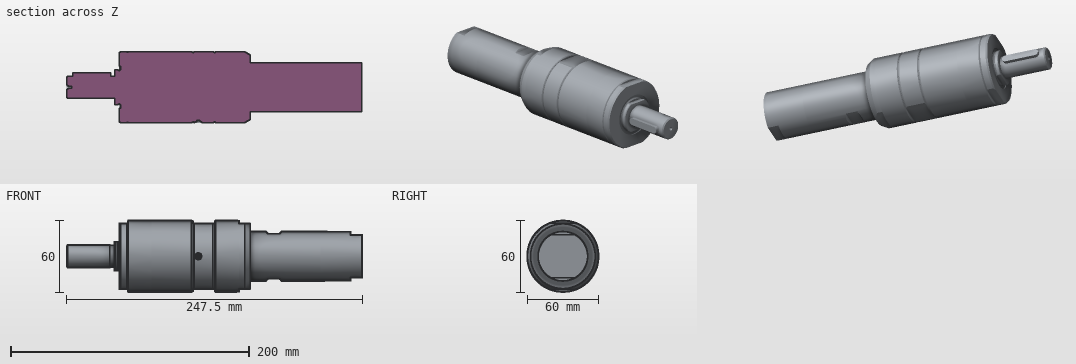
import math

import cadquery as cq


SHAFT_DIAMETER = 19.0
SHAFT_NECK_DIAMETER = 18.8
SHAFT_SEAT_LENGTH = 36.0
SHAFT_CHAMFER = 1.0
CENTER_HOLE_DIAMETER = 1.55
CENTER_CONE_DIAMETER = 3.2
CENTER_HOLE_DEPTH = 4.0
CENTER_CONE_DEPTH = 1.8

KEY_WIDTH = 6.0
KEY_START = 5.0
KEY_LENGTH = 32.0
KEY_TOP = 12.5
KEY_BOTTOM = 6.0

COLLAR_DIAMETER = 29.95
COLLAR_START = 40.0
COLLAR_LENGTH = 3.0
COLLAR_CHAMFER = 0.5
COLLAR_ROOT_CHAMFER = 1.0
COLLAR_ACROSS_FLATS = 24.6
COLLAR_NECK_DIAMETER = COLLAR_DIAMETER - 2 * COLLAR_CHAMFER

HOUSING_DIAMETER = 60.0
HOUSING_ACROSS_FLATS = 55.0
COVER_START = 44.0
COVER_END = 51.0
BODY_JOINT = 71.0
BODY_END = 106.0
RING_END = 124.0
NOSE_FLAT_START = 144.5
NOSE_TAPER_START = 149.0
HOUSING_END = 154.0
TAPER_SLOPE = math.tan(math.radians(30))
LONG_CHAMFER = 1.5
LONG_CHAMFER_DEPTH = LONG_CHAMFER * TAPER_SLOPE
SHORT_CHAMFER = 0.75
COVER_RECESS_DIAMETER = 35.0
COVER_RECESS_DEPTH = 1.0

PLUG_X = 110.3
PLUG_HOLE_DIAMETER = 5.5
PLUG_HOLE_DEPTH = 0.8
PLUG_CONE_DIAMETER = 3.6
PLUG_CONE_TIP_DIAMETER = 1.55
PLUG_CONE_DEPTH = 1.5

TUBE_DIAMETER = 41.5
TUBE_END_LENGTH = 35.0
TOTAL_LENGTH = 247.5
WRENCH_CENTER = 173.5
WRENCH_FLAT_LENGTH = 10.0
WRENCH_ACROSS_FLATS = 38.0
END_FLAT_LENGTH = 9.5
END_ACROSS_FLATS = 36.0


def rod(start, end, diameter, start_chamfer=None, end_chamfer=None):
    """Cylinder along X with optional (length, depth) chamfers at its two ends."""
    radius = diameter / 2
    points = [(start, 0)]
    if start_chamfer:
        length, depth = start_chamfer
        points += [(start, radius - depth), (start + length, radius)]
    else:
        points.append((start, radius))
    if end_chamfer:
        length, depth = end_chamfer
        points += [(end - length, radius), (end, radius - depth)]
    else:
        points.append((end, radius))
    points.append((end, 0))
    profile = cq.Workplane("XY").polyline(points).close()
    return profile.revolve(360, (0, 0, 0), (1, 0, 0))


def between_flats(solid, start, end, across_flats):
    """Keep only the part of a solid that lies between two flats facing +Z and -Z."""
    slab = cq.Workplane("XY").box(end - start, 2 * HOUSING_DIAMETER, across_flats)
    return solid.intersect(slab.translate(((start + end) / 2, 0, 0)))


def drive_shaft():
    """Chamfered shaft seat and slimmer neck, with a centre hole in the tip."""
    seat = rod(0, SHAFT_SEAT_LENGTH, SHAFT_DIAMETER, start_chamfer=(SHAFT_CHAMFER, SHAFT_CHAMFER))
    neck = rod(SHAFT_SEAT_LENGTH, COVER_END, SHAFT_NECK_DIAMETER)
    center_hole = rod(0, CENTER_HOLE_DEPTH, CENTER_HOLE_DIAMETER)
    center_cone = cq.Solid.makeCone(
        CENTER_CONE_DIAMETER / 2,
        CENTER_HOLE_DIAMETER / 2,
        CENTER_CONE_DEPTH,
        cq.Vector(0, 0, 0),
        cq.Vector(1, 0, 0),
    )
    return seat.union(neck).cut(center_hole).cut(center_cone)


def key():
    """Round-ended key standing out of the shaft towards +Y."""
    outline = cq.Workplane("XZ", origin=(KEY_START + KEY_LENGTH / 2, KEY_BOTTOM, 0))
    return outline.slot2D(KEY_LENGTH, KEY_WIDTH).extrude(-(KEY_TOP - KEY_BOTTOM))


def collar():
    """Chamfered flange and neck with two flats, on a round root set in the cover recess."""
    chamfer = (COLLAR_CHAMFER, COLLAR_CHAMFER)
    collar_end = COLLAR_START + COLLAR_LENGTH
    flange = rod(COLLAR_START, collar_end, COLLAR_DIAMETER, chamfer, chamfer)
    neck = rod(collar_end, COVER_START, COLLAR_NECK_DIAMETER)
    root_chamfer = (COLLAR_ROOT_CHAMFER, COLLAR_ROOT_CHAMFER)
    root = rod(COVER_START, COVER_END, COLLAR_DIAMETER, start_chamfer=root_chamfer)
    flatted = between_flats(flange.union(neck), COLLAR_START, COVER_START, COLLAR_ACROSS_FLATS)
    return flatted.union(root)


def front_cover():
    """Flatted front ring with a shallow recess around the collar."""
    chamfers = (LONG_CHAMFER, LONG_CHAMFER_DEPTH), (SHORT_CHAMFER, SHORT_CHAMFER)
    cover = rod(COVER_START, COVER_END, HOUSING_DIAMETER, *chamfers)
    recess = rod(COVER_START, COVER_START + COVER_RECESS_DEPTH, COVER_RECESS_DIAMETER)
    return between_flats(cover, COVER_START, COVER_END, HOUSING_ACROSS_FLATS).cut(recess)


def main_body():
    """Two round lengths that meet at a visible joint."""
    front = rod(COVER_END, BODY_JOINT, HOUSING_DIAMETER, start_chamfer=(SHORT_CHAMFER, SHORT_CHAMFER))
    rear = rod(BODY_JOINT, BODY_END, HOUSING_DIAMETER, end_chamfer=(LONG_CHAMFER, LONG_CHAMFER_DEPTH))
    return front.union(rear, clean=False)


def middle_ring():
    """Flatted ring with the plug hole."""
    chamfers = (SHORT_CHAMFER, SHORT_CHAMFER), (LONG_CHAMFER, LONG_CHAMFER_DEPTH)
    ring = rod(BODY_END, RING_END, HOUSING_DIAMETER, *chamfers)
    inward = cq.Vector(0, 1, 0)
    mouth = cq.Vector(PLUG_X, -HOUSING_DIAMETER / 2, 0)
    floor = mouth + inward * PLUG_HOLE_DEPTH
    hole = cq.Solid.makeCylinder(PLUG_HOLE_DIAMETER / 2, PLUG_HOLE_DEPTH, mouth, inward)
    cone = cq.Solid.makeCone(
        PLUG_CONE_DIAMETER / 2,
        PLUG_CONE_TIP_DIAMETER / 2,
        PLUG_CONE_DEPTH,
        floor,
        inward,
    )
    return between_flats(ring, BODY_END, RING_END, HOUSING_ACROSS_FLATS).cut(hole).cut(cone)


def nose():
    """Rear housing section with a long taper; flats are cut only on its rear end."""
    taper_length = HOUSING_END - NOSE_TAPER_START
    taper = (taper_length, taper_length * TAPER_SLOPE)
    front = rod(RING_END, NOSE_FLAT_START, HOUSING_DIAMETER, start_chamfer=(SHORT_CHAMFER, SHORT_CHAMFER))
    rear = rod(NOSE_FLAT_START, HOUSING_END, HOUSING_DIAMETER, end_chamfer=taper)
    flatted = between_flats(rear, NOSE_FLAT_START, HOUSING_END, HOUSING_ACROSS_FLATS)
    return front.union(flatted, clean=False)


def wrench_notch(side):
    """Cutter for a flat with 45-degree end walls on the +Z (side = 1) or -Z (side = -1) of the tube."""
    depth = TUBE_DIAMETER / 2
    floor = WRENCH_ACROSS_FLATS / 2
    half_floor = WRENCH_FLAT_LENGTH / 2
    half_top = half_floor + depth
    outline = [
        (WRENCH_CENTER - half_floor, side * floor),
        (WRENCH_CENTER + half_floor, side * floor),
        (WRENCH_CENTER + half_top, side * (floor + depth)),
        (WRENCH_CENTER - half_top, side * (floor + depth)),
    ]
    return cq.Workplane("XZ").polyline(outline).close().extrude(depth, both=True)


def rear_tube():
    """Tube with two wrench flats, joined to an end length with flats at its tip."""
    end_start = TOTAL_LENGTH - TUBE_END_LENGTH
    flat_start = TOTAL_LENGTH - END_FLAT_LENGTH
    tube = rod(HOUSING_END, end_start, TUBE_DIAMETER)
    for side in (1, -1):
        tube = tube.cut(wrench_notch(side))
    tip = rod(flat_start, TOTAL_LENGTH, TUBE_DIAMETER)
    flatted_tip = between_flats(tip, flat_start, TOTAL_LENGTH, END_ACROSS_FLATS)
    tube_end = rod(end_start, flat_start, TUBE_DIAMETER).union(flatted_tip)
    return tube.union(tube_end, clean=False)


result = drive_shaft()
for section in (key(), collar(), front_cover(), main_body(), middle_ring(), nose(), rear_tube()):
    result = result.union(section, clean=False)